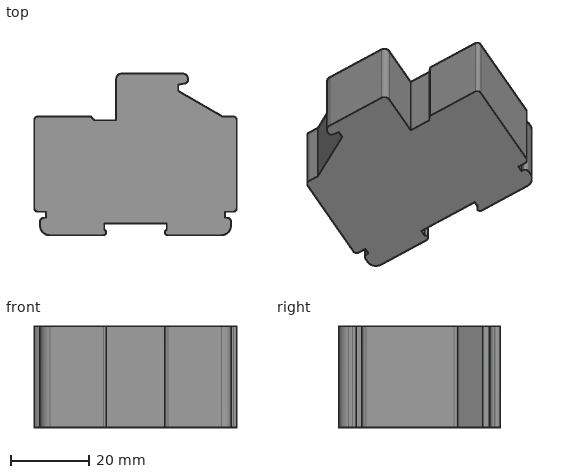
import cadquery as cq
import math


body_width = 52.0
overall_depth = 41.5
module_thickness = 26.0
body_half_width = body_width / 2

body_back = 6.0
body_front = 30.5
body_corner_radius = 1.0

foot_half_width = 24.5
foot_top = 4.5
foot_outer_radius = 2.5
foot_top_radius = 1.0
neck_half_width = 23.0

slot_half_width = 8.0
slot_depth = 3.0
lip_radius = 0.75
lip_protrusion = 0.5

ledge_depth = 1.0
ledge_left = -11.5
ledge_y = body_front - ledge_depth

tower_left = -5.0
tower_corner_radius = 1.5
hook_root_x = 11.0
hook_tip_x = 13.5
hook_root_y = 38.6
hook_lower_radius = 1.0
underside_angle = 10.0
slope_start_y = 37.0
slope_angle = 30.0

lip_tip_x = slot_half_width - lip_protrusion
lip_center_x = lip_tip_x + lip_radius
lip_wall_offset = lip_center_x - slot_half_width
lip_wall_y = lip_radius + math.sqrt(lip_radius**2 - lip_wall_offset**2)

hook_tip_y = hook_root_y + (hook_tip_x - hook_root_x) * math.tan(math.radians(underside_angle))
slope_end_x = hook_root_x + (slope_start_y - body_front) / math.tan(math.radians(slope_angle))


def extrude_centred(outline):
    """Extrude a closed XY outline symmetrically about Z = 0."""
    return outline.extrude(module_thickness / 2, both=True)


def round_corner(solid, x, y, radius):
    """Fillet the Z-parallel edge standing at (x, y)."""
    near_edge = cq.selectors.NearestToPointSelector((x, y, 0))
    return solid.edges("|Z").edges(near_edge).fillet(radius)


def make_body():
    """Body block with the tower, its hook and sloping flank, and the ledge."""
    outline = (
        cq.Workplane("XY")
        .moveTo(-body_half_width, body_back)
        .lineTo(body_half_width, body_back)
        .lineTo(body_half_width, body_front)
        .lineTo(slope_end_x, body_front)
        .lineTo(hook_root_x, slope_start_y)
        .lineTo(hook_root_x, hook_root_y)
        .lineTo(hook_tip_x, hook_tip_y)
        .lineTo(hook_tip_x, overall_depth)
        .lineTo(tower_left, overall_depth)
        .lineTo(tower_left, ledge_y)
        .lineTo(ledge_left + ledge_depth, ledge_y)
        .lineTo(ledge_left, body_front)
        .lineTo(-body_half_width, body_front)
        .close()
    )
    body = extrude_centred(outline)
    for x in (-body_half_width, body_half_width):
        for y in (body_back, body_front):
            body = round_corner(body, x, y, body_corner_radius)
    for x in (tower_left, hook_tip_x):
        body = round_corner(body, x, overall_depth, tower_corner_radius)
    return round_corner(body, hook_tip_x, hook_tip_y, hook_lower_radius)


def make_right_foot():
    """Foot on the +X side, from the slot centreline to the outer rounds."""
    outline = (
        cq.Workplane("XY")
        .moveTo(0, slot_depth)
        .lineTo(slot_half_width, slot_depth)
        .lineTo(slot_half_width, lip_wall_y)
        .threePointArc((lip_tip_x, lip_radius), (lip_center_x, 0))
        .lineTo(foot_half_width, 0)
        .lineTo(foot_half_width, foot_top)
        .lineTo(neck_half_width, foot_top)
        .lineTo(neck_half_width, body_back)
        .lineTo(0, body_back)
        .close()
    )
    foot = extrude_centred(outline)
    foot = round_corner(foot, foot_half_width, 0, foot_outer_radius)
    return round_corner(foot, foot_half_width, foot_top, foot_top_radius)


right_foot = make_right_foot()
left_foot = right_foot.mirror("YZ")
result = make_body().union(right_foot).union(left_foot).clean()